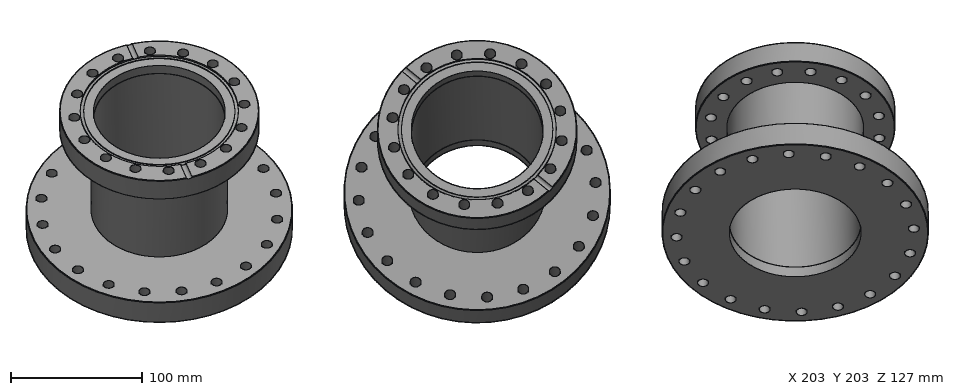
import cadquery as cq
import math

TOTAL_HEIGHT = 127.0
LARGE_THICKNESS = 22.0
SMALL_THICKNESS = 19.9
EDGE_CHAMFER = 0.5

LARGE_DIAMETER = 203.0
SMALL_DIAMETER = 152.0
BORE_DIAMETER = 100.5
SOCKET_DIAMETER = 104.3
SEAT_DEPTH = 9.7

TUBE_OUTER_DIAMETER = 104.0
TUBE_INNER_DIAMETER = 100.0

BOLT_HOLE_DIAMETER = 8.3
LARGE_BOLT_CIRCLE = 181.0
LARGE_BOLT_COUNT = 20
SMALL_BOLT_CIRCLE = 130.3
SMALL_BOLT_COUNT = 16

RECESS_DIAMETER = 120.5
RECESS_DEPTH = 1.5
KNIFE_DIAMETER = 115.3
KNIFE_DEPTH = 0.6
RECESS_FLOOR_DEPTH = 1.2

GROOVE_WIDTH = 4.5
GROOVE_DEPTH = 1.2
GROOVE_ANGLE = -180.0 / SMALL_BOLT_COUNT


def cylinder(diameter, bottom, top):
    return cq.Workplane("XY").workplane(offset=bottom).circle(diameter / 2).extrude(top - bottom)


def make_blank_flange(diameter, bottom, top, bolt_circle, bolt_count):
    """Chamfered disc with a through bore and a ring of bolt holes."""
    disc = cylinder(diameter, bottom, top).faces("<Z or >Z").edges().chamfer(EDGE_CHAMFER)
    bolt_holes = (
        cq.Workplane("XY").workplane(offset=bottom)
        .polarArray(bolt_circle / 2, 0, 360, bolt_count)
        .circle(BOLT_HOLE_DIAMETER / 2)
        .extrude(top - bottom)
    )
    return disc.cut(cylinder(BORE_DIAMETER, bottom, top)).cut(bolt_holes)


def make_gasket_recess():
    """Revolved cutter whose floor rises from the recess wall to the knife edge."""
    profile = [
        (0, TOTAL_HEIGHT),
        (RECESS_DIAMETER / 2, TOTAL_HEIGHT),
        (RECESS_DIAMETER / 2, TOTAL_HEIGHT - RECESS_DEPTH),
        (KNIFE_DIAMETER / 2, TOTAL_HEIGHT - KNIFE_DEPTH),
        (KNIFE_DIAMETER / 2, TOTAL_HEIGHT - RECESS_FLOOR_DEPTH),
        (0, TOTAL_HEIGHT - RECESS_FLOOR_DEPTH),
    ]
    return cq.Workplane("XZ").polyline(profile).close().revolve(360, (0, 0, 0), (0, 1, 0))


def make_leak_groove(angle):
    """Round-bottomed radial cutter from the recess wall to the flange rim."""
    radius = (GROOVE_WIDTH**2 / 4 + GROOVE_DEPTH**2) / (2 * GROOVE_DEPTH)
    wall_radius = RECESS_DIAMETER / 2
    start = math.sqrt(wall_radius**2 - GROOVE_WIDTH**2 / 4)
    return (
        cq.Workplane("YZ").workplane(offset=start)
        .center(0, TOTAL_HEIGHT - GROOVE_DEPTH + radius)
        .circle(radius)
        .extrude(SMALL_DIAMETER / 2 - start)
        .rotate((0, 0, 0), (0, 0, 1), angle)
    )


def make_large_flange():
    flange = make_blank_flange(
        LARGE_DIAMETER, 0, LARGE_THICKNESS, LARGE_BOLT_CIRCLE, LARGE_BOLT_COUNT
    )
    return flange.cut(cylinder(SOCKET_DIAMETER, SEAT_DEPTH, LARGE_THICKNESS))


def make_small_flange():
    bottom = TOTAL_HEIGHT - SMALL_THICKNESS
    flange = make_blank_flange(
        SMALL_DIAMETER, bottom, TOTAL_HEIGHT, SMALL_BOLT_CIRCLE, SMALL_BOLT_COUNT
    )
    flange = flange.cut(cylinder(SOCKET_DIAMETER, bottom, TOTAL_HEIGHT - SEAT_DEPTH))
    flange = flange.cut(make_gasket_recess())
    for angle in (GROOVE_ANGLE, GROOVE_ANGLE + 180):
        flange = flange.cut(make_leak_groove(angle))
    return flange


def make_tube():
    bottom = SEAT_DEPTH
    top = TOTAL_HEIGHT - SEAT_DEPTH
    return cylinder(TUBE_OUTER_DIAMETER, bottom, top).cut(cylinder(TUBE_INNER_DIAMETER, bottom, top))


large_flange = make_large_flange()
small_flange = make_small_flange()
tube = make_tube()

result = cq.Compound.makeCompound([large_flange.val(), small_flange.val(), tube.val()])